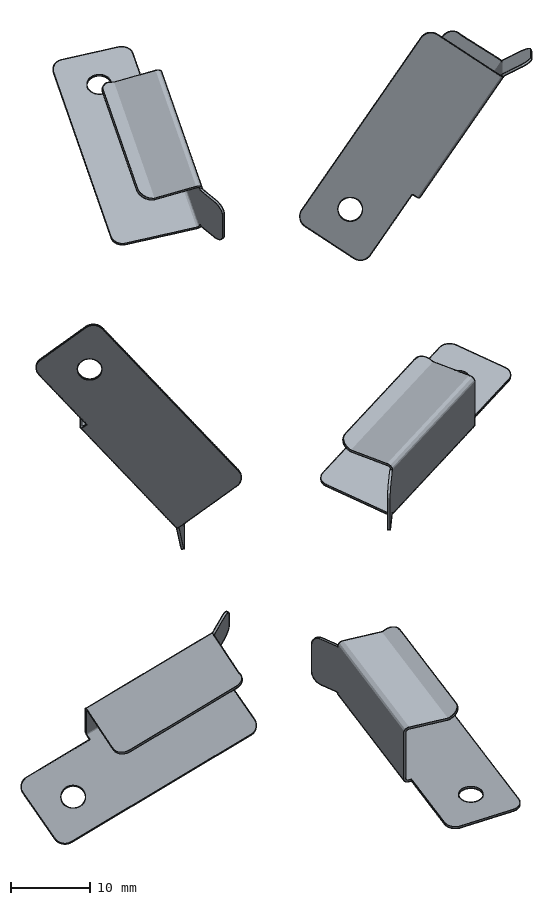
import cadquery as cq
import math

thickness = 0.35
inner_radius = 0.4
mid_radius = inner_radius + thickness / 2
outer_radius = inner_radius + thickness
corner_radius = 1.5

base_length = 29.95
base_width = 10.43
hole_diameter = 3.1
hole_inset = 5.0

clip_start = 11.0
clip_length = base_length - clip_start
wall_back = 11.55
wall_height = 7.5
arm_droop = 5.5
arm_length = 5.45
lip_rise = 25.0
lip_length = 1.8

overall_length = 33.65
tab_angle = 29.0
tab_turn = math.radians(tab_angle)
tab_length = (
    overall_length
    - base_length
    - (mid_radius + thickness / 2) * math.sin(tab_turn)
) / math.cos(tab_turn)


def beside(point, heading, distance):
    """Point at a distance to the left of a heading (radians)."""
    return (
        point[0] - distance * math.sin(heading),
        point[1] + distance * math.cos(heading),
    )


def ahead(point, heading, distance):
    """Point at a distance along a heading (radians)."""
    return (
        point[0] + distance * math.cos(heading),
        point[1] + distance * math.sin(heading),
    )


def bent_strip(plane, start, steps):
    """Closed strip profile that follows its mid line from start along local x.

    Each step is (bend in degrees, left positive, then straight length).
    """
    half = thickness / 2
    point = start
    heading = 0.0
    left = [(beside(point, heading, half), None)]
    right = [(beside(point, heading, -half), None)]

    for bend, length in steps:
        if bend:
            side = math.copysign(1, bend)
            centre = beside(point, heading, side * mid_radius)
            middle = heading + math.radians(bend) / 2
            heading += math.radians(bend)
            for edge, offset in ((left, half), (right, -half)):
                reach = offset - side * mid_radius
                edge.append((beside(centre, heading, reach), beside(centre, middle, reach)))
            point = beside(centre, heading, -side * mid_radius)
        if length:
            point = ahead(point, heading, length)
            left.append((beside(point, heading, half), None))
            right.append((beside(point, heading, -half), None))

    profile = cq.Workplane(plane).moveTo(*left[0][0])
    for end, via in left[1:]:
        profile = profile.threePointArc(via, end) if via else profile.lineTo(*end)
    profile = profile.lineTo(*right[-1][0])
    for index in range(len(right) - 1, 0, -1):
        via = right[index][1]
        end = right[index - 1][0]
        profile = profile.threePointArc(via, end) if via else profile.lineTo(*end)
    return profile.close()


def round_tip(strip, outward, across):
    """Round the corners of the end face pointing outward; across runs through the sheet."""
    tip = strip.faces(cq.selectors.ParallelDirSelector(cq.Vector(*outward)))
    corners = tip.edges(cq.selectors.ParallelDirSelector(cq.Vector(*across)))
    return corners.fillet(corner_radius)


def make_base():
    base = cq.Workplane("XY").box(base_length, base_width, thickness, centered=False)
    front_corners = base.edges("|Z and <Y")
    back_left_corner = base.edges("|Z and <X and >Y")
    base = front_corners.add(back_left_corner).fillet(corner_radius)
    hole = cq.Workplane("XY").center(hole_inset, hole_inset).circle(hole_diameter / 2).extrude(thickness)
    return base.cut(hole)


def make_clip():
    foot_start = base_width / 2
    foot_length = wall_back - outer_radius - foot_start
    steps = [
        (0, foot_length),
        (90, wall_height),
        (90 + arm_droop, arm_length),
        (-arm_droop - lip_rise, lip_length),
    ]
    plane = cq.Plane(origin=(clip_start, 0, 0), xDir=(0, 1, 0), normal=(1, 0, 0))
    clip = bent_strip(plane, (foot_start, thickness / 2), steps).extrude(clip_length)

    rise = math.radians(lip_rise)
    return round_tip(clip, (0, -math.cos(rise), math.sin(rise)), (0, math.sin(rise), math.cos(rise)))


def make_tab():
    plane = cq.Workplane("XY").workplane(offset=outer_radius).plane
    start = (base_length, wall_back - thickness / 2)
    tab = bent_strip(plane, start, [(tab_angle, tab_length)]).extrude(wall_height)
    outward = (math.cos(tab_turn), math.sin(tab_turn), 0)
    across = (-math.sin(tab_turn), math.cos(tab_turn), 0)
    return round_tip(tab, outward, across)


result = make_base().union(make_clip()).union(make_tab())